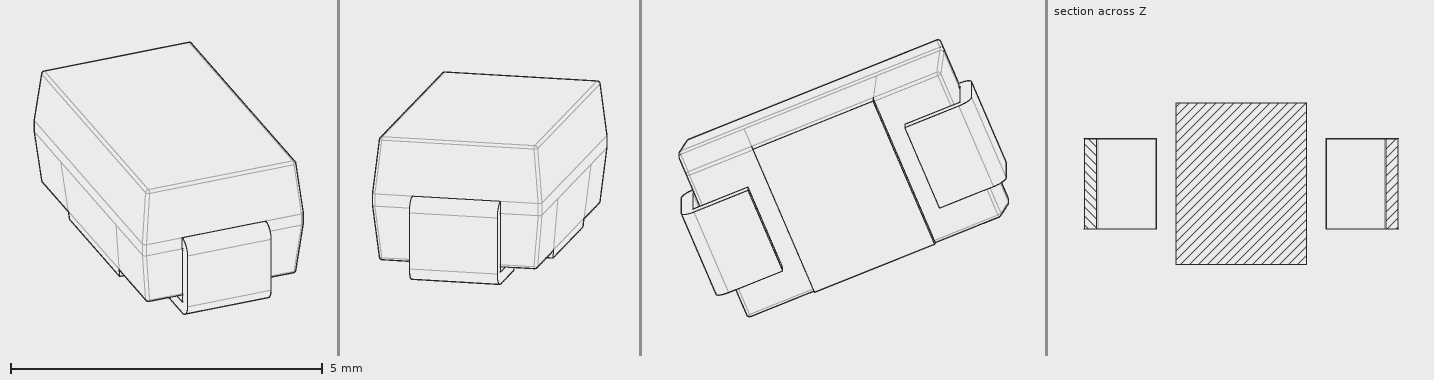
import cadquery as cq
import math

OVERALL_LENGTH = 5.04
OVERALL_HEIGHT = 2.29

LEAD_WIDTH = 1.45
LEAD_THICKNESS = 0.2
BEND_INNER_RADIUS = 0.02
BEND_OUTER_RADIUS = BEND_INNER_RADIUS + LEAD_THICKNESS
FOOT_LENGTH = 1.16

HOUSING_LENGTH = OVERALL_LENGTH - 2 * BEND_OUTER_RADIUS
HOUSING_WIDTH = 2.79
HOUSING_BOTTOM = 0.25
BAND_HEIGHT = LEAD_THICKNESS
BAND_BOTTOM = (HOUSING_BOTTOM + OVERALL_HEIGHT - BAND_HEIGHT) / 2
BAND_TOP = BAND_BOTTOM + BAND_HEIGHT
DRAFT_ANGLE = 6.0
EDGE_RADIUS = 0.05

STANDOFF_LENGTH = HOUSING_LENGTH / 2
STANDOFF_BOTTOM = 0.15


def tapered_block(length, width, start_z, end_z):
    """Rectangular block that narrows by the draft angle from start_z to end_z."""
    return (
        cq.Workplane("XY", origin=(0, 0, start_z))
        .rect(length, width)
        .extrude(end_z - start_z, taper=DRAFT_ANGLE)
    )


def make_housing():
    """Rounded, double-tapered housing with the sharp-edged standoff below it."""
    band = (
        cq.Workplane("XY", origin=(0, 0, BAND_BOTTOM))
        .rect(HOUSING_LENGTH, HOUSING_WIDTH)
        .extrude(BAND_HEIGHT)
    )
    upper_half = tapered_block(HOUSING_LENGTH, HOUSING_WIDTH, BAND_TOP, OVERALL_HEIGHT)
    lower_half = tapered_block(HOUSING_LENGTH, HOUSING_WIDTH, BAND_BOTTOM, HOUSING_BOTTOM)
    shell = band.union(upper_half).union(lower_half)
    shell = shell.edges("(not #Z) or >Z or <Z").fillet(EDGE_RADIUS)

    standoff = tapered_block(STANDOFF_LENGTH, HOUSING_WIDTH, BAND_BOTTOM, STANDOFF_BOTTOM)
    return shell.union(standoff, clean=False)


def make_lead(side):
    """C-shaped lead on the end of the housing at side = -1 or +1, touching the band."""
    outer_x = side * OVERALL_LENGTH / 2
    inner_x = side * (OVERALL_LENGTH / 2 - LEAD_THICKNESS)
    bend_x = side * HOUSING_LENGTH / 2
    foot_end_x = side * (OVERALL_LENGTH / 2 - FOOT_LENGTH)
    upper_bend_z = BAND_TOP - BEND_OUTER_RADIUS
    lower_bend_z = BEND_OUTER_RADIUS
    outer_diagonal = BEND_OUTER_RADIUS * math.sqrt(0.5)
    inner_diagonal = BEND_INNER_RADIUS * math.sqrt(0.5)

    return (
        cq.Workplane("XZ")
        .moveTo(bend_x, BAND_TOP)
        .threePointArc(
            (bend_x + side * outer_diagonal, upper_bend_z + outer_diagonal),
            (outer_x, upper_bend_z),
        )
        .lineTo(outer_x, lower_bend_z)
        .threePointArc(
            (bend_x + side * outer_diagonal, lower_bend_z - outer_diagonal),
            (bend_x, 0),
        )
        .lineTo(foot_end_x, 0)
        .lineTo(foot_end_x, LEAD_THICKNESS)
        .lineTo(bend_x, LEAD_THICKNESS)
        .threePointArc(
            (bend_x + side * inner_diagonal, lower_bend_z - inner_diagonal),
            (inner_x, lower_bend_z),
        )
        .lineTo(inner_x, upper_bend_z)
        .threePointArc(
            (bend_x + side * inner_diagonal, upper_bend_z + inner_diagonal),
            (bend_x, BAND_BOTTOM),
        )
        .close()
        .extrude(LEAD_WIDTH / 2, both=True)
    )


housing = make_housing()
leads = [make_lead(side) for side in (-1, 1)]

result = cq.Compound.makeCompound([housing.val(), *[lead.val() for lead in leads]])